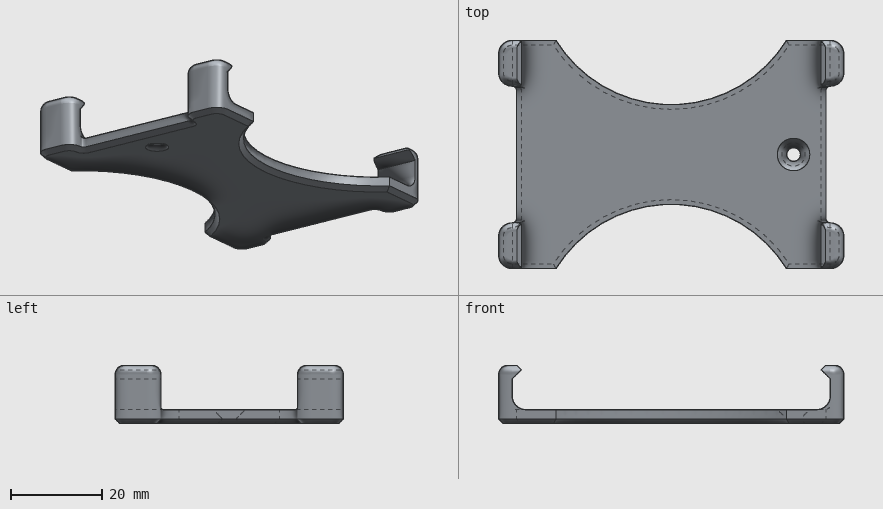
import cadquery as cq

length = 75.6
width = 50.0
height = 12.8

plate_thickness = 3.1
plate_inset = 3.9
bottom_chamfer = 1.05
scallop_chord = 50.4
scallop_depth = 14.05

clip_width = 10.05
clip_wall = 3.0
clip_top_radius = 2.05
lip_reach = 2.0
lip_tip_drop = 1.0
foot_radius = 2.95
foot_end_radius = 0.5

hole_x = 26.8
hole_diameter = 2.95
countersink_diameter = 7.1

half_length = length / 2
half_width = width / 2
wall_x = half_length - clip_wall
tip_x = wall_x - lip_reach
plate_edge_x = half_length - plate_inset
clip_end_y = half_width - clip_width
neck_radius = plate_inset - clip_wall


def outline_prism(prism_height):
    """Plan outline of the holder: scalloped long edges and four rounded clip ears."""
    ear_flat_y = clip_end_y + clip_wall
    neck_y = clip_end_y - neck_radius
    half_chord = scallop_chord / 2
    scallop_radius = (half_chord**2 + scallop_depth**2) / (2 * scallop_depth)
    scallop_y = half_width - scallop_depth + scallop_radius

    quarter = (
        cq.Workplane("XY")
        .moveTo(0, 0)
        .lineTo(0, half_width)
        .lineTo(wall_x, half_width)
        .radiusArc((half_length, half_width - clip_wall), clip_wall)
        .lineTo(half_length, ear_flat_y)
        .radiusArc((wall_x, clip_end_y), clip_wall)
        .radiusArc((plate_edge_x, neck_y), -neck_radius)
        .lineTo(plate_edge_x, 0)
        .close()
        .extrude(prism_height)
    )
    half = quarter.union(quarter.mirror("XZ"))
    scallops = (
        cq.Workplane("XY")
        .pushPoints([(0, -scallop_y), (0, scallop_y)])
        .circle(scallop_radius)
        .extrude(prism_height)
    )
    return half.union(half.mirror("YZ")).cut(scallops).clean()


def make_plate():
    """Base plate with every edge of its underside chamfered."""
    return outline_prism(plate_thickness).faces("<Z").edges().chamfer(bottom_chamfer)


def make_clip():
    """Hooked wall standing on the +X, +Y ear, with rounded ends and top."""
    depth = 2 * (half_length - tip_x)
    root_z = plate_thickness / 2
    block = (
        cq.Workplane("XY")
        .box(depth, clip_width, height - root_z, centered=(True, True, False))
        .translate((half_length - depth / 2, half_width - clip_width / 2, root_z))
        .edges("|Z and >X")
        .fillet(clip_wall)
        .faces(">Z")
        .edges("not <X")
        .fillet(clip_top_radius)
    )
    tip_z = height - lip_tip_drop
    hook = (
        cq.Workplane("XZ", origin=(0, half_width, 0))
        .moveTo(half_length, root_z)
        .lineTo(half_length, height)
        .lineTo(tip_x + lip_tip_drop, height)
        .lineTo(tip_x, tip_z)
        .lineTo(wall_x, tip_z - lip_reach)
        .lineTo(wall_x, root_z)
        .close()
        .extrude(clip_width)
    )
    return block.intersect(hook)


def make_foot():
    """Concave blend along the bottom of the clip wall, with a small one round its end."""
    root_z = plate_thickness / 2
    foot_top_z = plate_thickness + foot_radius
    foot_edge_x = wall_x - foot_radius
    foot_edge_y = clip_end_y - foot_end_radius
    along_wall = (
        cq.Workplane("XZ", origin=(0, half_width, 0))
        .moveTo(half_length, root_z)
        .lineTo(half_length, foot_top_z)
        .lineTo(wall_x, foot_top_z)
        .radiusArc((foot_edge_x, plate_thickness), foot_radius)
        .lineTo(foot_edge_x, root_z)
        .close()
        .extrude(half_width - foot_edge_y)
    )
    across_end = (
        cq.Workplane("YZ", origin=(foot_edge_x, 0, 0))
        .moveTo(half_width, root_z)
        .lineTo(half_width, foot_top_z)
        .lineTo(clip_end_y, foot_top_z)
        .lineTo(clip_end_y, plate_thickness + foot_end_radius)
        .radiusArc((foot_edge_y, plate_thickness), foot_end_radius)
        .lineTo(foot_edge_y, root_z)
        .close()
        .extrude(half_length - foot_edge_x)
    )
    return along_wall.intersect(across_end).intersect(outline_prism(height))


def add_clips(body):
    """Put the hooked clip, with its foot, on all four corners."""
    clip = make_clip().union(make_foot())
    pair = clip.union(clip.mirror("XZ"))
    return body.union(pair).union(pair.mirror("YZ"))


def screw_hole():
    """Countersunk through hole whose lower rim has the same chamfer as the plate."""
    hole_radius = hole_diameter / 2
    return (
        cq.Workplane("XZ", origin=(hole_x, 0, 0))
        .moveTo(0, 0)
        .lineTo(hole_radius + bottom_chamfer, 0)
        .lineTo(hole_radius, bottom_chamfer)
        .lineTo(countersink_diameter / 2, plate_thickness)
        .lineTo(0, plate_thickness)
        .close()
        .revolve(360, (0, 0, 0), (0, 1, 0))
    )


result = add_clips(make_plate()).cut(screw_hole())